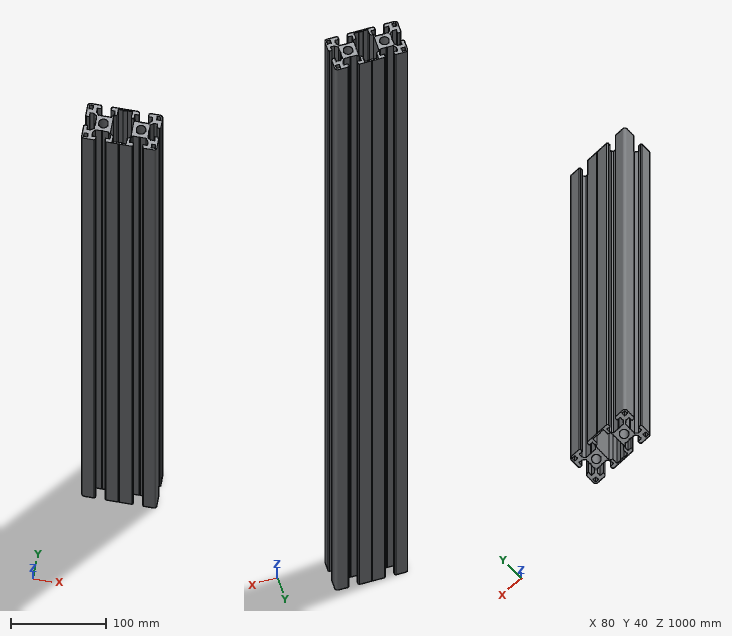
import cadquery as cq

LENGTH = 1000.0
DEPTH = 40.0
WIDTH = 2 * DEPTH
CELL_CENTERS = (-DEPTH / 2, DEPTH / 2)
CORNER_RADIUS = 3.0

SLOT_OPENING = 10.0
SLOT_CHAMFER = 1.2
LIP_THICKNESS = 4.0
SLOT_INNER_WIDTH = 19.0
SLOT_FLOOR_WIDTH = 14.0
SLOT_WALL_DEPTH = 8.0
SLOT_TAPER = 3.5
SLOT_DEPTH = SLOT_WALL_DEPTH + SLOT_TAPER

GROOVE_WIDTH = 1.5
GROOVE_DEPTH = 0.5

BORE_DIAMETER = 10.0
CORNER_HOLLOW = 4.0
CORNER_WALL = 2.0

FACE_WALL = 1.5
CAVITY_END_WIDTH = 15.0
CAVITY_MID_WIDTH = 22.0
CAVITY_MID_DEPTH = 20.0
CAVITY_TAPER = 2.0
RIB_WIDTH = 5.0
RIB_HEIGHT = 0.5


def prism(points):
    """Extrude a closed outline over the whole length."""
    return cq.Workplane("XY").polyline(points).close().extrude(LENGTH)


def mirrored(half):
    """Complete an outline given on its +X side with its mirror image about the Y axis."""
    return half + [(-x, y) for x, y in reversed(half)]


def turned(solid, angle):
    """Turn a solid about the extrusion axis."""
    return solid.rotate((0, 0, 0), (0, 0, 1), angle)


def v_groove():
    """V-groove cut into a face at Y = 0, pointing toward -Y."""
    return prism([(-GROOVE_WIDTH / 2, 0), (GROOVE_WIDTH / 2, 0), (0, -GROOVE_DEPTH)])


def t_slot():
    """T-slot cut with its mouth at Y = 0, opening toward +Y, and a groove in its floor."""
    mouth = SLOT_OPENING / 2
    inner = SLOT_INNER_WIDTH / 2
    slot = prism(mirrored([
        (mouth + SLOT_CHAMFER, 0),
        (mouth, -SLOT_CHAMFER),
        (mouth, -LIP_THICKNESS),
        (inner, -LIP_THICKNESS),
        (inner, -SLOT_WALL_DEPTH),
        (SLOT_FLOOR_WIDTH / 2, -SLOT_DEPTH),
    ]))
    return slot.union(v_groove().translate((0, -SLOT_DEPTH, 0)))


def center_cavity():
    """Cavity between the two cells, symmetric about both X and Y."""
    end_y = DEPTH / 2 - FACE_WALL
    mid_y = CAVITY_MID_DEPTH / 2
    upper_right = [
        (CAVITY_MID_WIDTH / 2, mid_y),
        (CAVITY_END_WIDTH / 2, mid_y + CAVITY_TAPER),
        (CAVITY_END_WIDTH / 2, end_y),
        (RIB_WIDTH / 2, end_y),
        (RIB_WIDTH / 2, end_y - RIB_HEIGHT),
    ]
    lower_right = [(x, -y) for x, y in reversed(upper_right)]
    return prism(mirrored(lower_right + upper_right))


def bores():
    """Round through bore at the center of each cell."""
    centers = [(x, 0) for x in CELL_CENTERS]
    return cq.Workplane("XY").pushPoints(centers).circle(BORE_DIAMETER / 2).extrude(LENGTH)


def corner_hollows():
    """Square through hollow inside each of the four corners."""
    inset = CORNER_WALL + CORNER_HOLLOW / 2
    spacing_x = WIDTH - 2 * inset
    spacing_y = DEPTH - 2 * inset
    return (
        cq.Workplane("XY")
        .rarray(spacing_x, spacing_y, 2, 2)
        .rect(CORNER_HOLLOW, CORNER_HOLLOW)
        .extrude(LENGTH)
    )


profile = cq.Workplane("XY").rect(WIDTH, DEPTH).extrude(LENGTH)
profile = profile.edges("|Z").fillet(CORNER_RADIUS)

profile = profile.cut(center_cavity()).cut(bores()).cut(corner_hollows())

slot = t_slot()
groove = v_groove()
for half_turn in (0, 180):
    for cell_x in CELL_CENTERS:
        profile = profile.cut(turned(slot.translate((cell_x, DEPTH / 2, 0)), half_turn))
    profile = profile.cut(turned(groove.translate((0, DEPTH / 2, 0)), half_turn))
    profile = profile.cut(turned(slot.translate((0, WIDTH / 2, 0)), half_turn + 90))

result = profile.translate((0, 0, -LENGTH / 2))